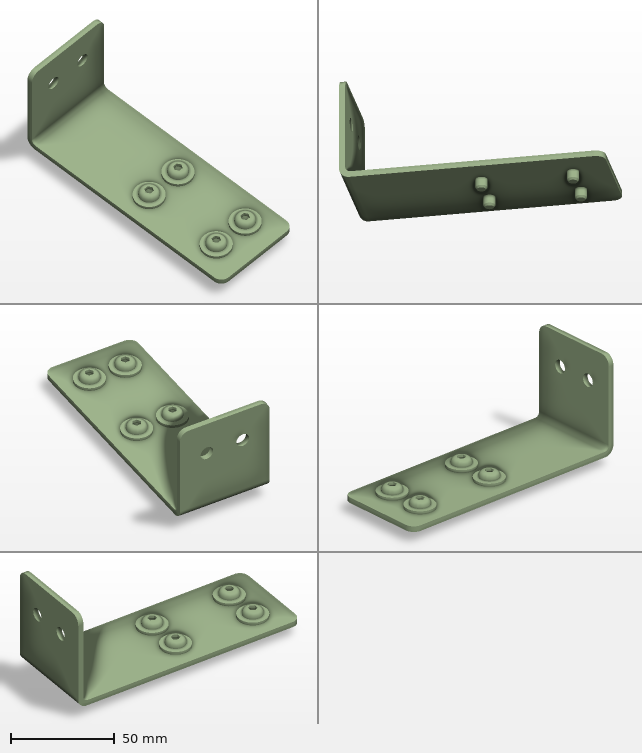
import cadquery as cq
import math

LENGTH = 130.0
WIDTH = 50.0
HEIGHT = 53.0
THICKNESS = 3.0
BEND_INNER_RADIUS = 2.6
BEND_OUTER_RADIUS = 5.0
CORNER_RADIUS = 5.0

HOLE_PITCH_Y = 20.0
WALL_HOLE_DIAMETER = 7.0
WALL_HOLE_DROP = 18.0
FIRST_SCREW_X = 67.0
SCREW_PITCH_X = 45.0

WASHER_DIAMETER = 16.0
WASHER_THICKNESS = 1.5

SHANK_DIAMETER = 6.0
SHANK_PROTRUSION = 5.3
TIP_CHAMFER_HEIGHT = 1.0
TIP_CHAMFER_WIDTH = 0.8
HEAD_DIAMETER = 10.5
HEAD_HEIGHT = 3.4
HEX_ACROSS_FLATS = 4.0
HEX_DEPTH = 2.0

ROW_YS = [-HOLE_PITCH_Y / 2, HOLE_PITCH_Y / 2]
SCREW_POSITIONS = [
    (x, y) for x in (FIRST_SCREW_X, FIRST_SCREW_X + SCREW_PITCH_X) for y in ROW_YS
]
WASHER_TOP = THICKNESS + WASHER_THICKNESS


def make_bracket():
    """L-shaped strip with a rounded bend, rounded free corners and screw holes."""
    strip = (
        cq.Workplane("XZ")
        .moveTo(0, 0)
        .lineTo(LENGTH, 0)
        .lineTo(LENGTH, THICKNESS)
        .lineTo(THICKNESS, THICKNESS)
        .lineTo(THICKNESS, HEIGHT)
        .lineTo(0, HEIGHT)
        .close()
        .extrude(WIDTH / 2, both=True)
    )
    inner_bend = cq.selectors.NearestToPointSelector((THICKNESS, 0, THICKNESS))
    outer_bend = cq.selectors.NearestToPointSelector((0, 0, 0))
    strip = strip.edges("|Y").edges(inner_bend).fillet(BEND_INNER_RADIUS)
    strip = strip.edges("|Y").edges(outer_bend).fillet(BEND_OUTER_RADIUS)
    strip = strip.faces(">X").edges("|Z").fillet(CORNER_RADIUS)
    strip = strip.faces(">Z").edges("|X").fillet(CORNER_RADIUS)

    wall_holes = (
        cq.Workplane("YZ")
        .pushPoints([(y, HEIGHT - WALL_HOLE_DROP) for y in ROW_YS])
        .circle(WALL_HOLE_DIAMETER / 2)
        .extrude(THICKNESS)
    )
    base_holes = (
        cq.Workplane("XY")
        .pushPoints(SCREW_POSITIONS)
        .circle(SHANK_DIAMETER / 2)
        .extrude(THICKNESS)
    )
    return strip.cut(wall_holes).cut(base_holes)


def make_washer(x, y):
    """Flat ring lying on the base, bored to the screw shank."""
    return (
        cq.Workplane("XY", origin=(x, y, THICKNESS))
        .circle(WASHER_DIAMETER / 2)
        .circle(SHANK_DIAMETER / 2)
        .extrude(WASHER_THICKNESS)
    )


def make_screw(x, y):
    """Button-head screw with a domed head, hexagon socket and chamfered tip."""
    shank_radius = SHANK_DIAMETER / 2
    head_radius = HEAD_DIAMETER / 2
    crown_radius = HEX_ACROSS_FLATS / 2
    tip_z = -SHANK_PROTRUSION
    head_top = WASHER_TOP + HEAD_HEIGHT

    body = (
        cq.Workplane("XZ")
        .moveTo(0, tip_z)
        .lineTo(shank_radius - TIP_CHAMFER_WIDTH, tip_z)
        .lineTo(shank_radius, tip_z + TIP_CHAMFER_HEIGHT)
        .lineTo(shank_radius, WASHER_TOP)
        .lineTo(head_radius, WASHER_TOP)
        .spline([(crown_radius, head_top)], tangents=[(0, 1), (-1, 0)], includeCurrent=True)
        .lineTo(0, head_top)
        .close()
        .revolve(360, (0, 0), (0, 1))
    )
    across_corners = HEX_ACROSS_FLATS / math.cos(math.pi / 6)
    socket = (
        cq.Workplane("XY")
        .polygon(6, across_corners)
        .extrude(-HEX_DEPTH)
        .rotate((0, 0, 0), (0, 0, 1), 30)
        .translate((0, 0, head_top))
    )
    return body.cut(socket).translate((x, y, 0))


bracket = make_bracket()
washers = [make_washer(x, y) for x, y in SCREW_POSITIONS]
screws = [make_screw(x, y) for x, y in SCREW_POSITIONS]

result = cq.Compound.makeCompound(
    [bracket.val()]
    + [washer.val() for washer in washers]
    + [screw.val() for screw in screws]
)